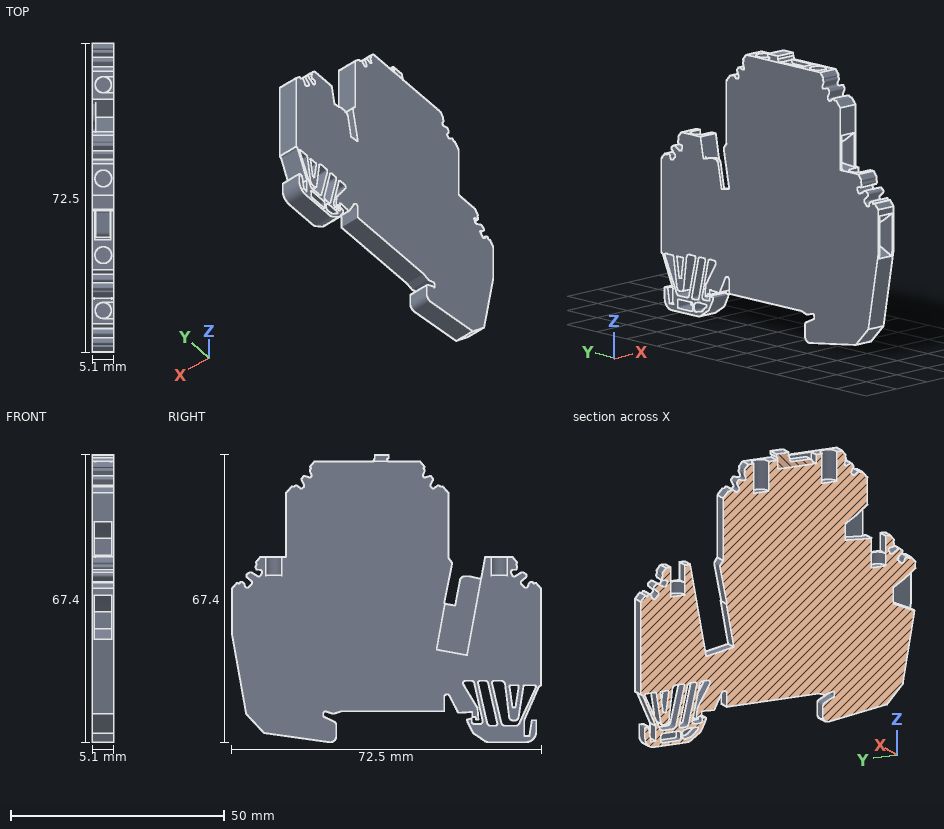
import cadquery as cq
import math


thickness = 5.1
length = 72.5
overall_height = 67.4

left_face = -thickness / 2
right_face = thickness / 2
half_length = length / 2

tower_top = 65.9
deck_top = 43.5
rail_face = 7.25
tower_center = -4.5
tower_half_width = 19.1
grip_run = 6.7
slack = 0.7


def rounded_prism(corners, x_start, x_end):
    """Extrude a closed YZ outline along X, each corner rounded to its own radius."""
    count = len(corners)
    spans = []
    for i, (y, z, radius) in enumerate(corners):
        corner = cq.Vector(y, z)
        back = (cq.Vector(*corners[i - 1][:2]) - corner).normalized()
        ahead = (cq.Vector(*corners[(i + 1) % count][:2]) - corner).normalized()
        half_angle = back.getAngle(ahead) / 2
        setback = radius / math.tan(half_angle)
        bisector = (back + ahead).normalized() if radius else back
        to_arc = radius / math.sin(half_angle) - radius
        points = (corner + back * setback, corner + bisector * to_arc, corner + ahead * setback)
        spans.append([(p.x, p.y) for p in points])

    outline = cq.Workplane("YZ", origin=(x_start, 0, 0)).moveTo(*spans[0][2])
    for (arc_start, arc_middle, arc_end), corner in zip(spans[1:] + spans[:1], corners[1:] + corners[:1]):
        outline = outline.lineTo(*arc_start)
        if corner[2]:
            outline = outline.threePointArc(arc_middle, arc_end)
    return outline.close().extrude(x_end - x_start)


shallow_grip = [
    (0, 0, 0), (1.1, -1.3, 0.15), (0.8, -1.6, 0.1), (1.15, -2.2, 0.2), (0.4, -3.7, 0.4),
    (1.15, -3.8, 0.15), (2.5, -3.3, 0.35), (3.1, -4.2, 0.35), (2.3, -5.8, 0.35), (3.05, -6.45, 0.35),
    (4.3, -5.5, 0.2), (4.85, -5.95, 0.1), (5.3, -5.9, 0.15), (grip_run, -7.4, 0),
]
deep_grip = [
    (0, 0, 0), (1.1, -1.3, 0.15), (0.9, -1.75, 0.1), (1.15, -2.4, 0.3), (0.9, -3.05, 0.15),
    (-0.65, -3.05, 0.5), (0.15, -4.8, 0.5), (2.3, -3.5, 0.35), (3.6, -4.35, 0.5), (1.75, -6.0, 0.4),
    (3.3, -7.7, 0.5), (3.8, -6.2, 0.15), (4.5, -5.65, 0.3), (5.0, -6.3, 0.1), (5.45, -6.0, 0.15),
    (grip_run, -7.4, 0),
]


def right_grip(grip, start_y, start_z):
    """Grip corners descending toward -Y."""
    return [(start_y - out, start_z + up, radius) for out, up, radius in grip]


def left_grip(grip, start_y, start_z):
    """Grip corners climbing from the +Y wall."""
    return [(start_y + out, start_z + up, radius) for out, up, radius in reversed(grip)]


socket_top_y = 23.1
socket_tilt = math.radians(10.4)
socket_floor_start = 20.45
socket_floor_end_y = 11.75


def socket_wall_y(z):
    """Y of the sloped outer wall at height z."""
    return socket_top_y - (deck_top - z) * math.tan(socket_tilt)


deck_grip_y = half_length - grip_run
tower_grip_offset = tower_half_width - grip_run

socket_mouth = [(socket_top_y, deck_top, 0), (socket_wall_y(38.35), 38.35, 0.3)]
web_edge = [(19.35, 39.0, 0.7), (17.4, 39.0, 1.3), (16.1, 32.1, 0.15)]
tower_side = [(13.55, 32.55, 0.3), (15.45, 42.05, 0.35), (tower_center + tower_half_width, 43.3, 0)]
rail_stop_foot = [
    (-half_length, 25.4, 0), (-32.9, 6.7, 0), (-28.7, 2.2, 0), (-11.75, -0.2, 1.45),
    (-11.75, 4.65, 0.9), (-14.8, 6.1, 0.15), (-14.8, 7.4, 0.4), (-12.5, 6.7, 0.35),
    (-10.6, rail_face, 0),
]
rail_notch = [(13.55, rail_face, 0.15), (13.55, 13.35, 0.65), (16.8, 6.9, 0.4)]
latch_foot = [
    (20.1, 7.1, 0.15), (20.1, 5.65, 0.15), (18.85, 5.4, 0.15), (19.0, 4.8, 0.15), (20.3, 2.2, 1.45),
    (23.5, 0, 1.45), (35.15, 0, 2.55), (35.15, 5.2, 0.2), (34.1, 5.2, 0), (33.5, 1.5, 0),
    (32.3, 1.5, 0), (32.3, 5.2, 0), (35.75, 13.05, 0.2), (half_length, 13.35, 0),
]

housing_outline = (
    left_grip(deep_grip, deck_grip_y, deck_top)
    + socket_mouth
    + web_edge
    + tower_side
    + left_grip(shallow_grip, tower_center + tower_grip_offset, tower_top)
    + right_grip(shallow_grip, tower_center - tower_grip_offset, tower_top)
    + [(tower_center - tower_half_width, deck_top, 0.3)]
    + right_grip(deep_grip, -deck_grip_y, deck_top)
    + rail_stop_foot
    + rail_notch
    + latch_foot
)

spring_openings = [
    [
        (35.2, 13.35, 0.3), (32.2, 13.35, 0.15), (30.9, 5.1, 1.0), (28.85, 5.1, 1.0),
        (27.7, 14.4, 0.95), (24.65, 14.4, 0.4), (27.1, 3.9, 0.9), (30.9, 3.9, 0.9),
    ],
    [(31.0, 13.35, 0.15), (28.85, 13.35, 0.15), (29.6, 8.2, 0.2), (30.2, 8.2, 0.2)],
    [(23.7, 14.4, 0.65), (21.4, 14.4, 0.4), (23.8, 3.9, 0.9), (26.1, 3.9, 0.4)],
    [
        (20.45, 14.4, 0.65), (17.55, 14.4, 0.6), (21.4, 8.05, 0.6), (21.6, 5.3, 0.15),
        (21.0, 5.3, 0.15), (20.9, 5.95, 0.15), (20.0, 5.95, 0.15), (20.0, 4.35, 0.6), (22.7, 4.35, 0.6),
    ],
]
foot_pockets = [
    [(30.8, 3.05, 0.4), (25.75, 3.05, 0.4), (25.75, 0.9, 0.4), (30.8, 0.9, 0.4)],
    [(25.15, 3.05, 0.6), (23.6, 3.4, 0.7), (20.6, 3.3, 0.3), (22.9, 1.3, 1.45), (25.15, 0.9, 0.6)],
]
foot_pocket_depth = 4.35

web_thickness = 0.9
socket_floor_run = socket_wall_y(socket_floor_start) - socket_floor_end_y
socket_floor_end = socket_floor_start + socket_floor_run * math.tan(socket_tilt)
plug_socket = [
    (socket_wall_y(deck_top + slack), deck_top + slack, 0),
    (socket_wall_y(socket_floor_start), socket_floor_start, 0),
    (socket_floor_end_y, socket_floor_end, 0),
    (15.45, 42.05, 0.35), (15.45, deck_top + slack, 0),
]

screw_hole_depth = 7.25
tower_screw_radius = 1.95
tower_screw_offset = 9.0
deck_screw_radius = 1.9
screw_x = 0.1
deck_screw_y = 26.45
side_slot_depth = 4.35

wire_x_start = -2.0
wire_x_end = 2.0
wire_depth = 5.8
wire_bend_depth = 2.9
wire_opening_gap = 17.25
lower_wire_ceiling = [34.5, 32.3, 30.6]
wire_back_floor = 26.7
lower_wire_mouth_floor = 24.1

seat_width = 3.8
seat_end_y = -9.9
seat_start_y = 0.0
seat_depth = 2.2
seat_floor = tower_top - seat_depth

tab_foot_y = -3.1
plate_width = 3.3
plate_end_y = -9.3
plate_drop = 0.9
plate_end_round = 1.15
plate_root_round = 0.6


def wire_opening(face_y, raise_by, mouth_floor):
    """Funnel running toward +Y from an end face, its floor sloping down to the mouth."""
    mouth, bend, back = [z + raise_by for z in lower_wire_ceiling]
    corners = [
        (face_y - slack, mouth + slack * (mouth - bend) / wire_bend_depth, 0),
        (face_y + wire_bend_depth, bend, 0),
        (face_y + wire_depth, back, 0),
        (face_y + wire_depth, wire_back_floor + raise_by, 0),
        (face_y, mouth_floor, 0),
        (face_y - slack, mouth_floor, 0),
    ]
    return rounded_prism(corners, wire_x_start, wire_x_end)


def screw_hole(y, top, radius):
    """Blind round hole going down from a deck."""
    bottom = cq.Workplane("XY", origin=(screw_x, y, top - screw_hole_depth))
    return bottom.circle(radius).extrude(screw_hole_depth + slack)


def side_slot(y):
    """Slot that opens a lower-deck screw hole toward +X."""
    run = right_face - screw_x + slack
    slot = cq.Workplane("XY").box(
        run, 2 * deck_screw_radius, side_slot_depth + slack, centered=(False, True, False)
    )
    return slot.translate((screw_x, y, deck_top - side_slot_depth))


def lever_seat():
    """Rectangular recess in the upper deck that holds the lever plate."""
    corners = [
        (seat_start_y, tower_top, 0), (seat_start_y, seat_floor, 0),
        (seat_end_y, seat_floor, 0), (seat_end_y, tower_top, 0),
    ]
    return rounded_prism(corners, -seat_width / 2, seat_width / 2)


def make_housing():
    body = rounded_prism(housing_outline, left_face, right_face)
    for opening in spring_openings:
        body = body.cut(rounded_prism(opening, left_face, right_face))
    for pocket in foot_pockets:
        body = body.cut(rounded_prism(pocket, left_face, left_face + foot_pocket_depth))
    body = body.cut(rounded_prism(plug_socket, left_face + web_thickness, right_face))
    for side in (-1, 1):
        tower_y = tower_center + side * tower_screw_offset
        deck_y = side * deck_screw_y
        body = body.cut(screw_hole(tower_y, tower_top, tower_screw_radius))
        body = body.cut(screw_hole(deck_y, deck_top, deck_screw_radius))
        body = body.cut(side_slot(deck_y))
    body = body.cut(wire_opening(-half_length, 0, lower_wire_mouth_floor))
    body = body.cut(wire_opening(tower_center - tower_half_width, wire_opening_gap, deck_top))
    return body.cut(lever_seat())


def make_lever():
    """Full-width tab on the upper deck with a plate lying in the seat."""
    tab_outline = [
        (0.6, overall_height, 0), (0.6, 66.7, 0), (0.15, 66.5, 0), (0.35, tower_top, 0),
        (tab_foot_y, tower_top, 0), (-2.75, 66.7, 0), (-2.75, overall_height, 0),
    ]
    plate_top = tower_top - plate_drop
    plate_outline = [
        (seat_start_y, tower_top, 0), (seat_start_y, seat_floor, 0), (plate_end_y, seat_floor, 0),
        (plate_end_y, plate_top, plate_end_round), (tab_foot_y, plate_top, plate_root_round),
        (tab_foot_y, tower_top, 0),
    ]
    tab = rounded_prism(tab_outline, left_face, right_face)
    plate = rounded_prism(plate_outline, -plate_width / 2, plate_width / 2)
    return tab.union(plate)


housing = make_housing()
lever = make_lever()
result = cq.Compound.makeCompound([housing.val(), lever.val()])